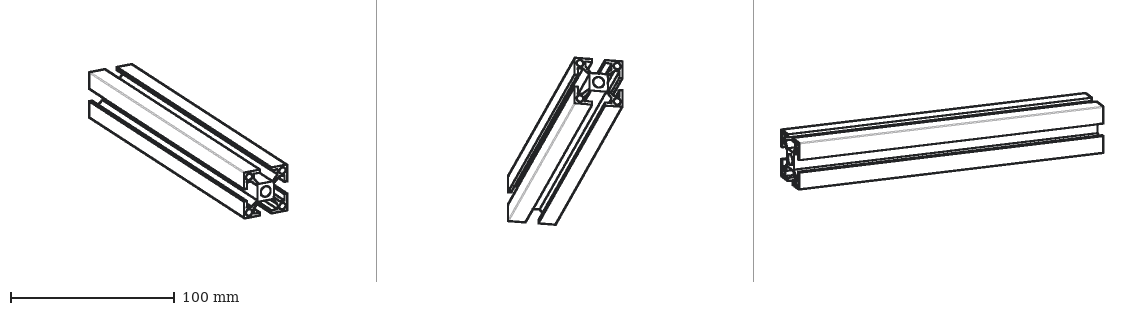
import cadquery as cq

length = 200.0
side = 30.0
edge_radius = 0.5

slot_opening = 8.0
lip_thickness = 2.0
pocket_half_width = 8.2
pocket_wall_end = 9.8
core_half = 5.8
floor_half_width = 4.8

center_bore_diameter = 6.8
corner_bore_diameter = 4.2
corner_bore_offset = 11.5

half_side = side / 2


def make_bar():
    """Square bar with rounded long edges, starting at X = 0."""
    bar = cq.Workplane("YZ").rect(side, side).extrude(length)
    return bar.edges("|X").fillet(edge_radius)


def make_slot():
    """Full-length cutter for the T-slot on the +Z side."""
    right_half = [
        (slot_opening / 2, half_side),
        (slot_opening / 2, half_side - lip_thickness),
        (pocket_half_width, half_side - lip_thickness),
        (pocket_half_width, pocket_wall_end),
        (floor_half_width, core_half),
    ]
    left_half = [(-y, z) for y, z in reversed(right_half)]
    return cq.Workplane("YZ").polyline(right_half + left_half).close().extrude(length)


def make_bores():
    """Full-length cutters for the centre bore and the four corner bores."""
    corner_spacing = 2 * corner_bore_offset
    center = cq.Workplane("YZ").circle(center_bore_diameter / 2).extrude(length)
    corners = (
        cq.Workplane("YZ")
        .rect(corner_spacing, corner_spacing, forConstruction=True)
        .vertices()
        .circle(corner_bore_diameter / 2)
        .extrude(length)
    )
    return center.union(corners)


result = make_bar()
slot = make_slot()
for angle in (0, 90, 180, 270):
    result = result.cut(slot.rotate((0, 0, 0), (1, 0, 0), angle))
result = result.cut(make_bores())

result = result.translate((-length / 2, 0, 0))